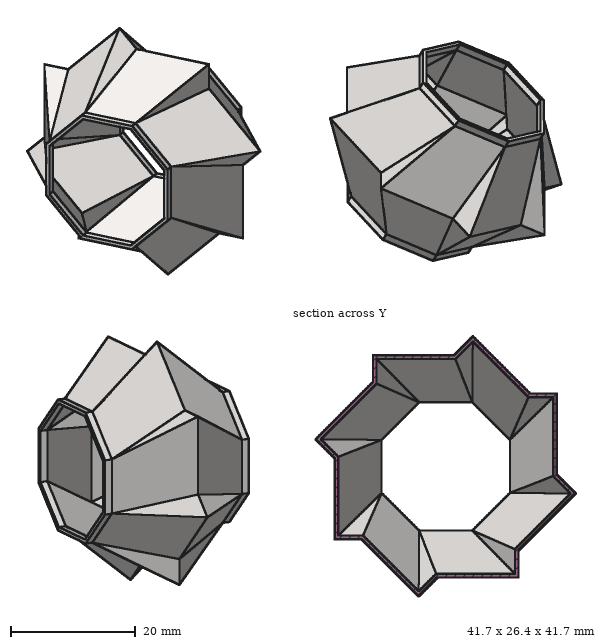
import cadquery as cq
import math

SIDES = 8
TOTAL_DEPTH = 26.4
COLLAR_DEPTH = 1.25
COLLAR_APOTHEM = 10.9
WALL = 0.63
TIP_RISE = 20.85
STAR_APOTHEM = 17.8

STEP = 2 * math.pi / SIDES
HALF_DEPTH = TOTAL_DEPTH / 2
BODY_HALF_DEPTH = HALF_DEPTH - COLLAR_DEPTH


def turned(x, z, index):
    """Turn an (x, z) point clockwise by index octagon steps."""
    angle = -index * STEP
    return (
        x * math.cos(angle) - z * math.sin(angle),
        x * math.sin(angle) + z * math.cos(angle),
    )


def octagon(apothem):
    """Corners of an octagon, starting at the left end of its top side."""
    half_side = apothem * math.tan(STEP / 2)
    return [turned(-half_side, apothem, i) for i in range(SIDES)]


def star(apothem, tip_rise):
    """Tips and notches of the middle section.

    Every long flat lies on an octagon side and ends in a right-angled tip;
    the short side below the tip runs back to the next flat.
    """
    tip = (tip_rise - apothem / math.cos(STEP), tip_rise)
    notch = (tip[0] + tip_rise - apothem, apothem)
    tips = [turned(*tip, i) for i in range(SIDES)]
    notches = [turned(*notch, i) for i in range(SIDES)]
    return tips, notches


def at_depth(points, y):
    """Place (x, z) points in the plane at depth y."""
    return [cq.Vector(x, y, z) for x, z in points]


def polygon_face(points):
    return cq.Face.makeFromWires(cq.Wire.makePolygon(points, close=True))


def twisted_solid(apothem, star_apothem, tip_rise):
    """Faceted body: an octagon at both ends and the star in the middle."""
    tips, notches = (at_depth(points, 0) for points in star(star_apothem, tip_rise))
    faces = []
    for y in (-BODY_HALF_DEPTH, BODY_HALF_DEPTH):
        corners = at_depth(octagon(apothem), y)
        faces.append(polygon_face(corners))
        for i in range(SIDES):
            following = (i + 1) % SIDES
            faces.append(polygon_face([corners[i], tips[i], notches[i]]))
            flat = [corners[i], notches[i], tips[following], corners[following]]
            faces.append(polygon_face(flat))
    return cq.Workplane(obj=cq.Solid.makeSolid(cq.Shell.makeShell(faces)))


def octagon_prism(apothem):
    """Straight octagonal bar running the whole depth."""
    return (
        cq.Workplane("XZ", origin=(0, HALF_DEPTH, 0))
        .polyline(octagon(apothem))
        .close()
        .extrude(TOTAL_DEPTH)
    )


def collared_form(apothem, star_apothem, tip_rise):
    """Faceted body together with the straight collars at its ends."""
    body = twisted_solid(apothem, star_apothem, tip_rise)
    return octagon_prism(apothem).union(body)


outside = collared_form(COLLAR_APOTHEM, STAR_APOTHEM, TIP_RISE)

inside = collared_form(
    COLLAR_APOTHEM - WALL,
    STAR_APOTHEM - WALL,
    TIP_RISE - WALL * math.sqrt(2),
)

result = outside.cut(inside)